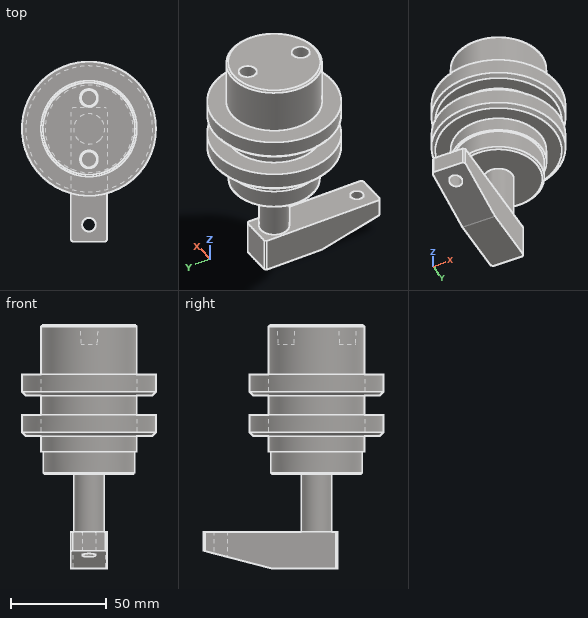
import cadquery as cq


TOTAL_HEIGHT = 127.0
HOUSING_DIAMETER = 50.0
HOUSING_BOTTOM = 60.8
HOUSING_CHAMFER = 1.0

PORT_OFFSET = 16.0
PORT_MOUTH_DIAMETER = 9.4
PORT_FLOOR_DIAMETER = 8.3
PORT_DEPTH = 10.0

NUT_DIAMETER = 70.0
NUT_HEIGHT = 11.0
NUT_CHAMFER = 2.0
NUT_BOTTOMS = (69.0, 90.0)

CAP_DIAMETER = 47.8
CAP_BOTTOM = 49.0
CAP_CHAMFER = 1.0

ROD_DIAMETER = 16.0
ARM_WIDTH = 19.0
ARM_HEIGHT = 19.0
ARM_BACK = 11.0
ARM_REACH = 58.9
ARM_TIP_HEIGHT = 9.8
ARM_SLOPE_START = 23.4
ARM_CORNER_CHAMFER = 1.0
ARM_HOLE_OFFSET = 50.0
ARM_HOLE_DIAMETER = 7.0


def cylinder(diameter, bottom, top):
    """Solid cylinder on the Z axis between two heights."""
    return cq.Workplane("XY").workplane(offset=bottom).circle(diameter / 2).extrude(top - bottom)


def make_port(y):
    """Cone-shaped cutter for one port, narrowing downwards from the top face."""
    return (
        cq.Workplane("XY", origin=(0, y, TOTAL_HEIGHT))
        .circle(PORT_MOUTH_DIAMETER / 2)
        .workplane(offset=-PORT_DEPTH)
        .circle(PORT_FLOOR_DIAMETER / 2)
        .loft(ruled=True)
    )


def make_housing():
    housing = cylinder(HOUSING_DIAMETER, HOUSING_BOTTOM, TOTAL_HEIGHT)
    housing = housing.faces(">Z").edges().chamfer(HOUSING_CHAMFER)
    for y in (-PORT_OFFSET, PORT_OFFSET):
        housing = housing.cut(make_port(y))
    return housing


def make_nut(bottom):
    """Ring nut with its lower outer edge chamfered and a bore that fits the housing."""
    top = bottom + NUT_HEIGHT
    nut = cylinder(NUT_DIAMETER, bottom, top).faces("<Z").edges().chamfer(NUT_CHAMFER)
    return nut.cut(cylinder(HOUSING_DIAMETER, bottom, top))


def make_cap():
    cap = cylinder(CAP_DIAMETER, CAP_BOTTOM, HOUSING_BOTTOM)
    return cap.faces("<Z").edges().chamfer(CAP_CHAMFER)


def make_rod():
    """Plain rod from the top of the arm to the underside of the cap."""
    return cylinder(ROD_DIAMETER, ARM_HEIGHT, CAP_BOTTOM)


def make_arm():
    """Clamp arm reaching towards -Y, with its underside sloping up to a thin tip."""
    side_profile = [
        (ARM_BACK, 0),
        (ARM_BACK, ARM_HEIGHT),
        (-ARM_REACH, ARM_HEIGHT),
        (-ARM_REACH, ARM_HEIGHT - ARM_TIP_HEIGHT),
        (-ARM_SLOPE_START, 0),
    ]
    arm = cq.Workplane("YZ").polyline(side_profile).close().extrude(ARM_WIDTH / 2, both=True)
    arm = arm.edges("|Z").chamfer(ARM_CORNER_CHAMFER)
    hole = (
        cq.Workplane("XY")
        .center(0, -ARM_HOLE_OFFSET)
        .circle(ARM_HOLE_DIAMETER / 2)
        .extrude(ARM_HEIGHT)
    )
    return arm.cut(hole)


housing = make_housing()
nuts = [make_nut(bottom) for bottom in NUT_BOTTOMS]
cap = make_cap()
rod = make_rod()
arm = make_arm()

result = cq.Compound.makeCompound(
    [housing.val(), *[nut.val() for nut in nuts], cap.val(), rod.val(), arm.val()]
)